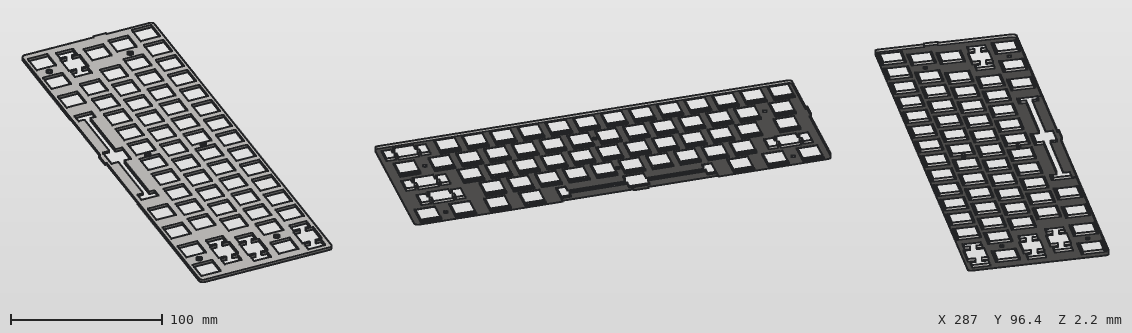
import cadquery as cq
overall_width = 287
tab_reach = 1.1
front_tab_length = 10.0
side_tab_length = 9.2
side_tab_rows_up = 3

columns = 15
rows = 5
plate_width = overall_width - tab_reach
pitch = plate_width / columns
plate_depth = rows * pitch
plate_thickness = 2.2
back_corner_radius = 2.3
front_corner_radius = 3.0

grid_offset = 0.11

web_width = 5.0
switch_size = pitch - web_width

stabilizer_width = 6.5
stabilizer_depth = 12.3
stabilizer_drop = 0.3
slot_depth = 4.3
wide_key_reach = 15.2
spacebar_reach = 53.5

clip_thickness = 1.5
clip_ledge = 1.1
relief_height = plate_thickness - clip_thickness

screw_diameter = 2.6
counterbore_diameter = 4.0
counterbore_depth = 0.5
upper_screw_offset = 116.5
lower_screw_offset = 119.0
middle_screw_offset = -4.5

spacebar_column = 6.875
key_rows = [
    [0.5 + i for i in range(13)] + [14],
    [0.75] + [2 + i for i in range(12)] + [14.25],
    [0.875] + [2.25 + i for i in range(11)] + [13.875],
    [1.125] + [2.75 + i for i in range(10)] + [13.625],
    [0.625, 1.875, 3.125, spacebar_column, 10.625, 11.875, 13.125, 14.375],
]
stabilized_keys = [
    (0, 14, wide_key_reach),
    (2, 13.875, wide_key_reach),
    (3, 1.125, wide_key_reach),
    (3, 13.625, wide_key_reach),
    (4, spacebar_column, spacebar_reach),
]


def key_x(column):
    return column * pitch + grid_offset


def key_y(row):
    return plate_depth - (row + 0.5) * pitch + grid_offset


def block(x, y, width, depth, height=plate_thickness):
    """Box standing on the underside plane, centred at x, y."""
    return cq.Workplane("XY").center(x, y).rect(width, depth).extrude(height)


def plate_blank():
    blank = block(plate_width / 2, plate_depth / 2, plate_width, plate_depth)
    blank = blank.edges("|Z and >Y").fillet(back_corner_radius)
    blank = blank.edges("|Z and <Y").fillet(front_corner_radius)
    side_tab = block(0, side_tab_rows_up * pitch, 2 * tab_reach, side_tab_length)
    front_tab = block(key_x(spacebar_column), 0, front_tab_length, 2 * tab_reach)
    return blank.union(side_tab).union(front_tab)


def switch_openings():
    centres = [(key_x(column), key_y(row)) for row, keys in enumerate(key_rows) for column in keys]
    return cq.Workplane("XY").pushPoints(centres).rect(switch_size, switch_size).extrude(plate_thickness)


def stabilizer_opening(row, column, reach):
    x = key_x(column)
    y = key_y(row)
    window_offset = reach - stabilizer_width / 2
    opening = block(x, y, 2 * window_offset, slot_depth)
    for side in (-1, 1):
        window_x = x + side * window_offset
        window = block(window_x, y - stabilizer_drop, stabilizer_width, stabilizer_depth)
        opening = opening.union(window)
    return opening


def switch_reliefs():
    """Underside ledges in front of and behind each switch that has no stabilizer, and the spacebar."""
    wide_keys = [(row, column) for row, column, reach in stabilized_keys if reach == wide_key_reach]
    centres = [
        (key_x(column), key_y(row))
        for row, keys in enumerate(key_rows)
        for column in keys
        if (row, column) not in wide_keys
    ]
    depth = switch_size + 2 * clip_ledge
    return cq.Workplane("XY").pushPoints(centres).rect(switch_size, depth).extrude(relief_height)


def spacebar_relief():
    """Underside relief from the front edge to the slot, with a ledge behind each stabilizer window."""
    x = key_x(spacebar_column)
    y = key_y(rows - 1)
    depth = y - slot_depth / 2 + tab_reach
    relief = block(x, depth / 2 - tab_reach, 2 * spacebar_reach, depth, relief_height)
    window_offset = spacebar_reach - stabilizer_width / 2
    for side in (-1, 1):
        ledge = block(
            x + side * window_offset,
            y - stabilizer_drop,
            stabilizer_width,
            stabilizer_depth + 2 * clip_ledge,
            relief_height,
        )
        relief = relief.union(ledge)
    return relief


def drill_screw_holes(plate):
    middle = plate_width / 2
    centres = [(middle + offset, key_y(1)) for offset in (-upper_screw_offset, 0, upper_screw_offset)]
    centres.append((middle + middle_screw_offset, key_y(3)))
    centres += [(middle + offset, key_y(4)) for offset in (-lower_screw_offset, lower_screw_offset)]
    top = plate.faces(">Z").workplane(origin=(0, 0, plate_thickness))
    return top.pushPoints(centres).cboreHole(screw_diameter, counterbore_diameter, counterbore_depth)


plate = plate_blank().cut(switch_openings())
for row, column, reach in stabilized_keys:
    plate = plate.cut(stabilizer_opening(row, column, reach))
plate = plate.cut(switch_reliefs()).cut(spacebar_relief())
result = drill_screw_holes(plate)